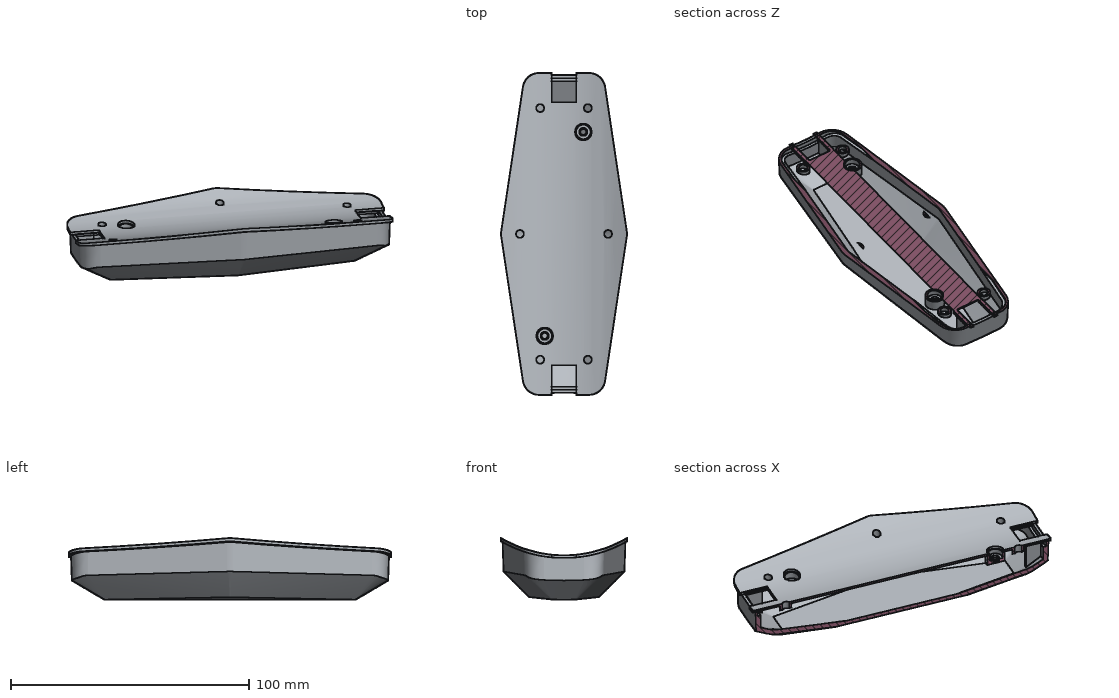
import cadquery as cq
import math


LENGTH = 135.24
WIDTH = 52.97
HEIGHT = 26.01
LID_END_HALF_WIDTH = 16.4
LID_CORNER_RADIUS = 7.0
LID_TOP_RADIUS = 52.0
LID_THICKNESS = 1.2

NOTCH_WIDTH = 10.4
NOTCH_LENGTH = 12.4

RAIL_SETBACK = 0.4
RAIL_WIDTH = 1.5
RAIL_HEIGHT = 1.1

RIB_THICKNESS = 1.2
RIB_LENGTH = 8.0

HOLE_DIAMETER = 3.3
HOLE_PLACES = [(x, y) for x in (-10.0, 10.0) for y in (-52.8, 52.8)] + [(-18.5, 0.0), (18.5, 0.0)]
TUBE_DIAMETER = 5.5
TUBE_LENGTH = 2.2

CUP_PLACES = [(8.1, 42.8), (-8.1, -42.8)]
CUP_OPENING_DIAMETER = 7.0
CUP_OUTER_DIAMETER = 8.2
CUP_BORE_DIAMETER = 6.1
CUP_FLOOR_Z = 15.6
CUP_FLOOR_THICKNESS = 2.0
CUP_HOLE_DIAMETER = 3.4
CUP_PILOT_DIAMETER = 2.5
CUP_STEP_DEPTH = 1.0

LID_OVERHANG = 0.85
WALL_CORNER_RADIUS = 7.7
WALL_DRAFT = 2.0
WALL_TOP_Z = 18.0
WALL_THICKNESS = 2.7
RIM_WIDTH = 1.4
RIM_HEIGHT = 2.2
BOTTOM_RADIUS = 93.0
FLOOR_THICKNESS = 2.0
FLOOR_RISE = 2.7

FLARE_MIDDLE = 13.5
FLARE_MIDDLE_GROWTH = 1.0
FLARE_END = 4.9
FLARE_END_GROWTH = 1.04
FLARE_LENGTH = 52.6
FLARE_LENGTH_GROWTH = 1.7
FLARE_BULGE = 0.05
FLARE_BULGE_GROWTH = 0.16
FLARE_CORNER = 0.3
FLARE_CORNER_GROWTH = 0.7
FLARE_TOP = 30.0

half_length = LENGTH / 2
side_slope = (WIDTH / 2 - LID_END_HALF_WIDTH) / half_length
side_angle = math.atan(side_slope)
middle_trim = LID_CORNER_RADIUS * (1 / math.cos(side_angle) - 1)
lid_middle = WIDTH / 2 + middle_trim
lid_centre_z = HEIGHT - LID_TOP_RADIUS + math.sqrt(LID_TOP_RADIUS**2 - (WIDTH / 2) ** 2)
bend_axis_z = lid_centre_z + LID_TOP_RADIUS
lid_under_radius = LID_TOP_RADIUS + LID_THICKNESS
rail_face_x = NOTCH_WIDTH / 2 + RAIL_SETBACK
rebate_inset = LID_OVERHANG + RIM_WIDTH
rail_radius = lid_under_radius + RAIL_HEIGHT
ledge_radius = lid_under_radius + RIM_HEIGHT


def hexagon(middle, end, length, corner, bulge=0.0):
    """Rounded hexagon sketch whose two ends lie across Y and may bow outwards."""
    shoulder = length - bulge
    outline = cq.Sketch()
    for way in (1, -1):
        start, finish = (way * end, way * shoulder), (-way * end, way * shoulder)
        outline = outline.segment((way * middle, 0), start)
        if bulge:
            outline = outline.arc(start, (0, way * length), finish)
        else:
            outline = outline.segment(start, finish)
        outline = outline.segment(finish, (-way * middle, 0))
    return outline.assemble().vertices().fillet(corner)


def lengthwise_cylinder(radius, axis_z):
    """Long cylinder along Y through X = 0, used to shape the bent faces."""
    return cq.Workplane("XZ", origin=(0, LENGTH, axis_z)).circle(radius).extrude(2 * LENGTH)


def inset_outline(inset, corner):
    """Lid outline moved inwards by the inset, with its own corner radius."""
    middle = lid_middle - inset / math.cos(side_angle)
    end = LID_END_HALF_WIDTH - inset * (1 / math.cos(side_angle) - side_slope)
    return hexagon(middle, end, half_length - inset, corner)


def prism(inset, corner, taper=0.0):
    """Full-height block on the inset outline; a negative taper widens it upwards."""
    return cq.Workplane("XY").placeSketch(inset_outline(inset, corner)).extrude(HEIGHT, taper=taper)


def flare(z):
    """Section of the flared underside at height z."""
    return hexagon(
        FLARE_MIDDLE + FLARE_MIDDLE_GROWTH * z,
        FLARE_END + FLARE_END_GROWTH * z,
        FLARE_LENGTH + FLARE_LENGTH_GROWTH * z,
        FLARE_CORNER + FLARE_CORNER_GROWTH * z,
        FLARE_BULGE + FLARE_BULGE_GROWTH * z,
    )


def flared_block():
    low = flare(0)
    high = flare(FLARE_TOP).moved(cq.Location(cq.Vector(0, 0, FLARE_TOP)))
    return cq.Workplane("XY").placeSketch(low, high).loft(ruled=True)


def cylinders(places, diameter, low, high):
    return cq.Workplane("XY", origin=(0, 0, low)).pushPoints(places).circle(diameter / 2).extrude(high - low)


def make_rails():
    length = NOTCH_LENGTH - rebate_inset
    inner_end = half_length - NOTCH_LENGTH
    centres = [
        (x * (rail_face_x + RAIL_WIDTH / 2), y * (inner_end + length / 2)) for x in (-1, 1) for y in (-1, 1)
    ]
    blocks = cq.Workplane("XY").pushPoints(centres).rect(RAIL_WIDTH, length).extrude(HEIGHT)
    return blocks.intersect(lengthwise_cylinder(rail_radius, bend_axis_z))


def make_ribs():
    """One rib per end, placed half a turn apart about Z, standing on the floor under a rail."""
    outer_end = half_length - rebate_inset
    rib_x = rail_face_x + RIB_THICKNESS / 2
    rib_y = outer_end - RIB_LENGTH / 2
    centres = [(rib_x, rib_y), (-rib_x, -rib_y)]
    blocks = cq.Workplane("XY").pushPoints(centres).rect(RIB_THICKNESS, RIB_LENGTH).extrude(HEIGHT)
    return blocks.cut(lengthwise_cylinder(rail_radius, bend_axis_z))


def make_lid():
    top = lengthwise_cylinder(LID_TOP_RADIUS, bend_axis_z)
    under = lengthwise_cylinder(lid_under_radius, bend_axis_z)
    tube_end = lengthwise_cylinder(lid_under_radius + TUBE_LENGTH, bend_axis_z)
    lid = prism(0, LID_CORNER_RADIUS).intersect(under)
    lid = lid.union(cylinders(HOLE_PLACES, TUBE_DIAMETER, 0, HEIGHT).intersect(tube_end))
    lid = lid.union(make_rails()).cut(top)
    for y in (-half_length, half_length):
        notch = cq.Workplane("XY").box(NOTCH_WIDTH, 2 * NOTCH_LENGTH, 3 * HEIGHT)
        lid = lid.cut(notch.translate((0, y, 0)))
    lid = lid.cut(cylinders(HOLE_PLACES, HOLE_DIAMETER, 0, HEIGHT))
    return lid.cut(cylinders(CUP_PLACES, CUP_OPENING_DIAMETER, 0, HEIGHT))


def make_housing():
    bottom = lengthwise_cylinder(BOTTOM_RADIUS, BOTTOM_RADIUS)
    floor = lengthwise_cylinder(BOTTOM_RADIUS - FLOOR_THICKNESS, BOTTOM_RADIUS)
    ledge = lengthwise_cylinder(ledge_radius, bend_axis_z)
    under = lengthwise_cylinder(lid_under_radius, bend_axis_z)
    base_inset = LID_OVERHANG + WALL_TOP_Z * math.tan(math.radians(WALL_DRAFT))
    outer = prism(base_inset, WALL_CORNER_RADIUS, -WALL_DRAFT).intersect(flared_block()).intersect(bottom)
    inner_flare = flared_block().translate((0, 0, FLOOR_RISE))
    inner_walls = prism(LID_OVERHANG + WALL_THICKNESS, WALL_CORNER_RADIUS - WALL_THICKNESS)
    cavity = inner_walls.intersect(inner_flare).intersect(floor)
    rebate = prism(rebate_inset, WALL_CORNER_RADIUS - RIM_WIDTH).intersect(ledge)
    ribs = make_ribs().intersect(outer)
    return outer.cut(cavity).cut(rebate).cut(under).union(ribs)


def make_cup(place):
    under = lengthwise_cylinder(lid_under_radius, bend_axis_z)
    cup = cylinders([place], CUP_OUTER_DIAMETER, CUP_FLOOR_Z - CUP_FLOOR_THICKNESS, HEIGHT).cut(under)
    cup = cup.cut(cylinders([place], CUP_BORE_DIAMETER, CUP_FLOOR_Z, HEIGHT))
    cup = cup.cut(cylinders([place], CUP_HOLE_DIAMETER, CUP_FLOOR_Z - CUP_STEP_DEPTH, HEIGHT))
    return cup.cut(cylinders([place], CUP_PILOT_DIAMETER, 0, HEIGHT))


lid = make_lid()
housing = make_housing()
cups = [make_cup(place) for place in CUP_PLACES]
result = cq.Compound.makeCompound([lid.val(), housing.val()] + [cup.val() for cup in cups])